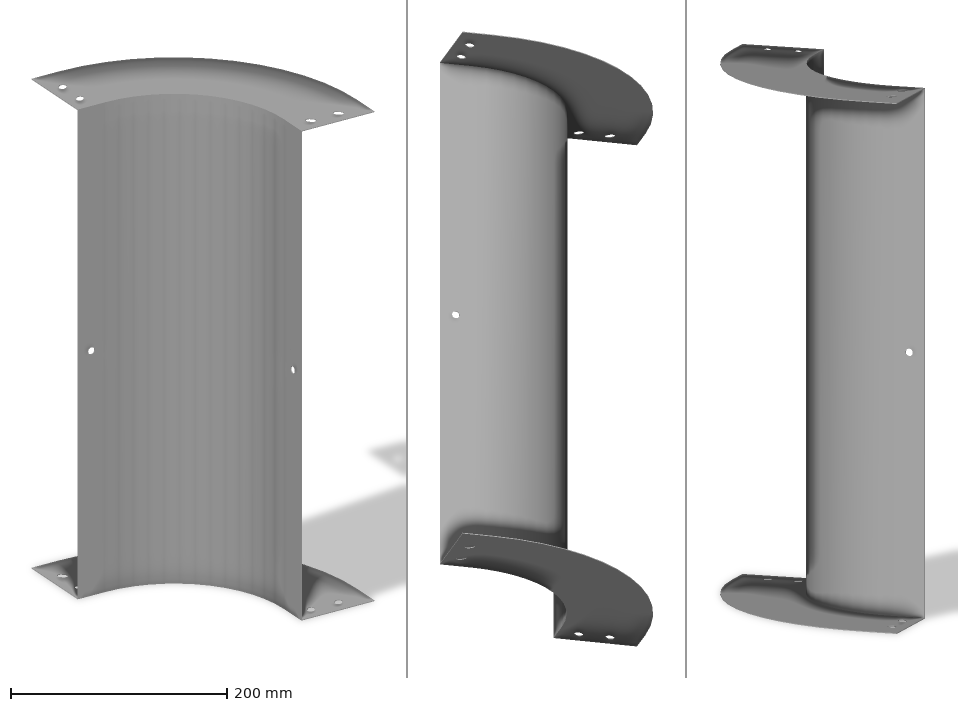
import cadquery as cq
import math

height = 500.0
side = 230.0
flange_width = 80.0
straight_length = 30.0
thickness = 0.8

wall_hole_diameter = 7.0
flange_slot_width = 7.0
flange_slot_length = 10.0
slot_angle = 45.0
hole_end_distance = straight_length / 2
flange_hole_offsets = (30.0, 60.0)

bend_x = side - straight_length
bend_y = straight_length
outer_radius = side - straight_length
inner_radius = outer_radius - flange_width


def bent_strip(strip_inner_radius, strip_outer_radius, strip_height):
    """Quarter-ring strip with a straight section at each end."""
    diagonal = math.sqrt(0.5)
    outer_middle = (bend_x - strip_outer_radius * diagonal, bend_y + strip_outer_radius * diagonal)
    inner_middle = (bend_x - strip_inner_radius * diagonal, bend_y + strip_inner_radius * diagonal)
    return (
        cq.Workplane("XY")
        .moveTo(bend_x - strip_outer_radius, 0)
        .lineTo(bend_x - strip_outer_radius, bend_y)
        .threePointArc(outer_middle, (bend_x, bend_y + strip_outer_radius))
        .lineTo(side, bend_y + strip_outer_radius)
        .lineTo(side, bend_y + strip_inner_radius)
        .lineTo(bend_x, bend_y + strip_inner_radius)
        .threePointArc(inner_middle, (bend_x - strip_inner_radius, bend_y))
        .lineTo(bend_x - strip_inner_radius, 0)
        .close()
        .extrude(strip_height)
    )


def slots(points, angle):
    """Upright cutters for slots turned by an angle from the X axis."""
    return (
        cq.Workplane("XY")
        .pushPoints(points)
        .slot2D(flange_slot_length, flange_slot_width, angle)
        .extrude(thickness)
    )


def slotted_flange(front_slot_angle):
    """Flange with two slots at each end, slanted opposite ways at the two ends."""
    front_end_points = [(offset, hole_end_distance) for offset in flange_hole_offsets]
    side_end_points = [(side - hole_end_distance, side - offset) for offset in flange_hole_offsets]
    return (
        bent_strip(inner_radius, outer_radius, thickness)
        .cut(slots(front_end_points, front_slot_angle))
        .cut(slots(side_end_points, -front_slot_angle))
    )


wall = bent_strip(inner_radius, inner_radius + thickness, height)
bottom_flange = slotted_flange(slot_angle)
top_flange = slotted_flange(-slot_angle).translate((0, 0, height - thickness))
channel = wall.union(bottom_flange).union(top_flange)

wall_hole_radius = wall_hole_diameter / 2
along_x = cq.Solid.makeCylinder(
    wall_hole_radius, side, cq.Vector(0, hole_end_distance, height / 2), cq.Vector(1, 0, 0)
)
along_y = cq.Solid.makeCylinder(
    wall_hole_radius, side, cq.Vector(side - hole_end_distance, 0, height / 2), cq.Vector(0, 1, 0)
)

result = channel.cut(cq.Workplane(along_x)).cut(cq.Workplane(along_y))